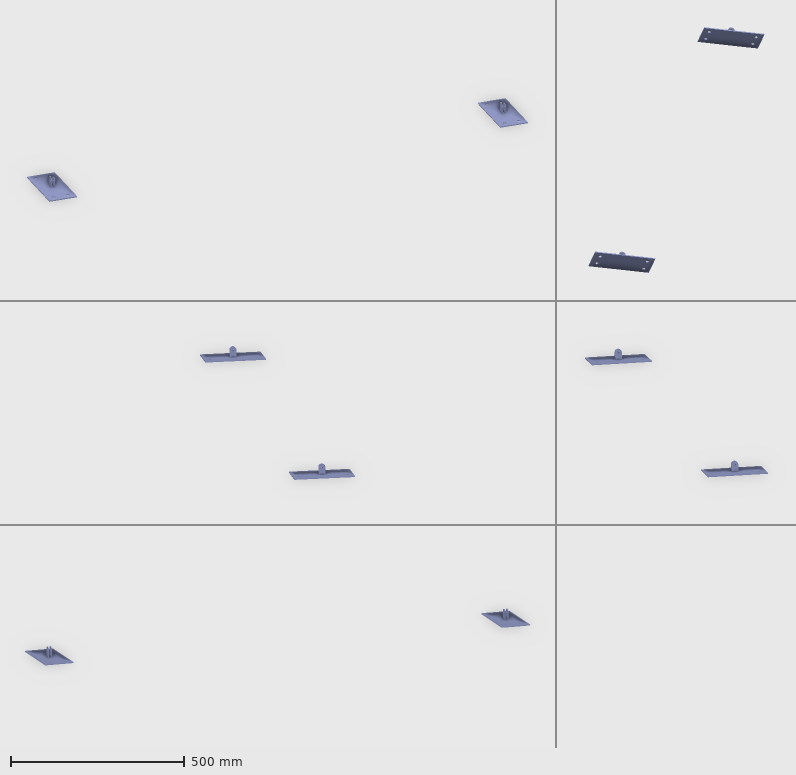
import cadquery as cq

total_length = 1485.0
total_height = 33.0

plate_length = 178.0
plate_width = 86.0
plate_thickness = 3.0
plate_spacing = total_length - plate_width

mount_hole_diameter = 10.0
mount_hole_pitch_x = 140.0
mount_hole_pitch_y = 43.0

lug_width = 20.0
lug_thickness = 2.0
lug_gap = 7.0
lug_offset = (lug_gap + lug_thickness) / 2
pin_hole_diameter = 5.0
pin_hole_height = total_height - lug_width / 2


def make_plate():
    """Flat plate resting on Z = 0, with four through holes."""
    return (
        cq.Workplane("XY")
        .box(plate_length, plate_width, plate_thickness, centered=(True, True, False))
        .faces(">Z")
        .workplane()
        .rect(mount_hole_pitch_x, mount_hole_pitch_y, forConstruction=True)
        .vertices()
        .hole(mount_hole_diameter)
    )


def make_lug(y_center):
    """Thin upright lug with a half-round top and a concentric cross hole for a pin."""
    lug = (
        cq.Workplane("XZ", origin=(0, y_center + lug_thickness / 2, 0))
        .moveTo(-lug_width / 2, plate_thickness)
        .lineTo(lug_width / 2, plate_thickness)
        .lineTo(lug_width / 2, pin_hole_height)
        .threePointArc((0, total_height), (-lug_width / 2, pin_hole_height))
        .close()
        .extrude(lug_thickness)
    )
    pin_hole = (
        cq.Workplane("XZ", origin=(0, y_center, pin_hole_height))
        .circle(pin_hole_diameter / 2)
        .extrude(lug_thickness, both=True)
    )
    return lug.cut(pin_hole)


def make_bracket(y_center):
    """One bracket: a base plate carrying a pair of lugs."""
    bracket = make_plate()
    for side in (-1, 1):
        bracket = bracket.union(make_lug(side * lug_offset))
    return bracket.translate((0, y_center, 0))


brackets = []
for end in (-1, 1):
    brackets.append(make_bracket(end * plate_spacing / 2).solids().val())

result = cq.Compound.makeCompound(brackets)